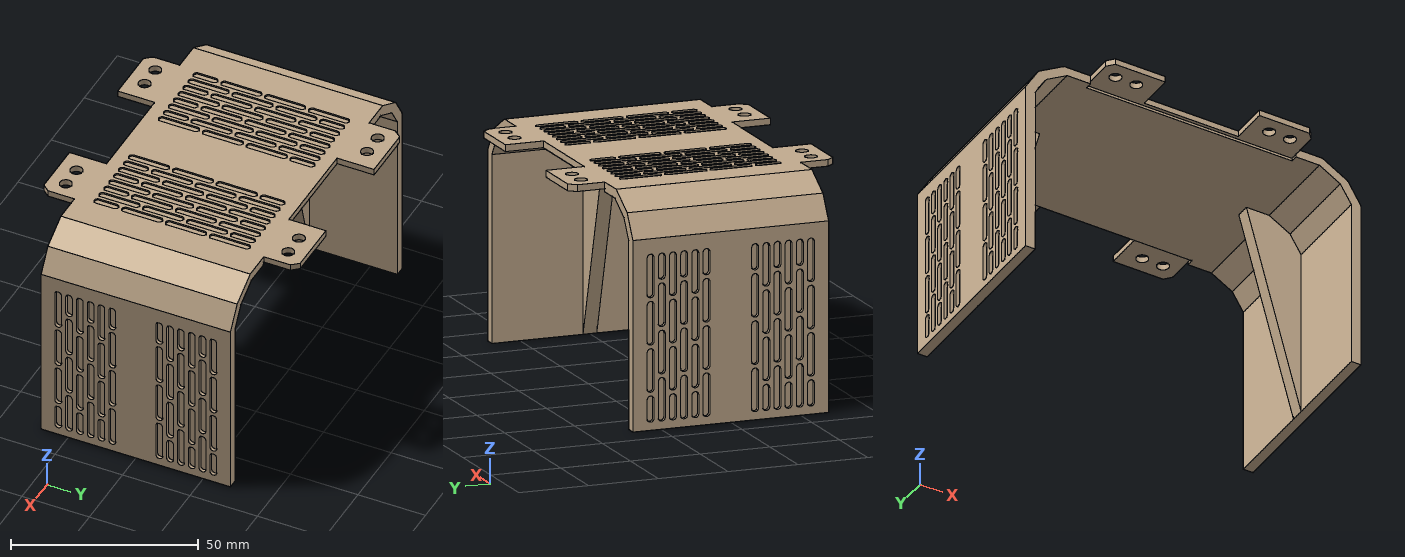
import cadquery as cq

length = 104.0
height = 64.0
shell_width = 56.2
wall_thickness = 3.0
top_thickness = 2.7

outer_bend = [(0, 11.2), (4.1, 4.6), (12.0, 0)]
inner_bend = [(wall_thickness, 12.0), (6.5, 6.5), (12.9, top_thickness)]

overall_width = 76.0
tab_thickness = 1.9
tab_outer_x = 31.8
tab_inner_x = 14.6
tab_corner_x = 1.8
tab_corner_y = 2.1
hole_diameter = 3.4
hole_places_x = (20.6, 27.0)
hole_y = 33.0

notch_y = 27.0
rebate_y = 26.0

rib_width = 4.0
rib_top_x = 32.0

groove_width = 2.0
top_groove_depth = 0.47
wall_groove_depth = 1.0
groove_gap = 1.0
groove_angle = 90
bank_length = 46.2
short_groove = 7.2
long_grooves_per_column = 3
row_pitch = (bank_length - short_groove) / long_grooves_per_column
long_groove = row_pitch - groove_gap

top_columns = 8
top_first_column = 30.0
top_last_column = 9.0
top_bank_end = bank_length / 2

wall_columns = 6
wall_first_column = 23.0
wall_last_column = 7.0
wall_bank_bottom = 2.3
wall_bank_top = wall_bank_bottom + bank_length

half_length = length / 2
half_shell = shell_width / 2
both_sides = (-1, 1)


def mirrored_outline(half_points):
    """Close an outline from its left half, given as (distance in from the side, Z)."""
    left = [(inset - half_length, z) for inset, z in half_points]
    right = [(-x, z) for x, z in reversed(left)]
    return left + right


def extrude_along_y(points, width):
    return cq.Workplane("XZ").polyline(points).close().extrude(width / 2, both=True)


def make_block(bend, wall_inset):
    """Solid of the shell's width bounded by one of the two bent outlines."""
    half = [(wall_inset, 0)] + [(inset, height - drop) for inset, drop in bend]
    return extrude_along_y(mirrored_outline(half), shell_width)


def make_rib(side):
    """Web between a wall and the top, ending on a slope from the wall's foot to the top."""
    points = [
        (side * (half_length - wall_thickness), 0),
        (side * rib_top_x, height - top_thickness),
        (side * rib_top_x, height),
        (side * half_length, height),
        (side * half_length, 0),
    ]
    return extrude_along_y(points, rib_width)


def make_edge_cut(side):
    """Notch between the tabs, and the rebate that thins the top to the tab thickness."""
    notch = cq.Workplane("XY").box(
        2 * tab_inner_x, half_shell - notch_y, top_thickness, centered=(True, False, False)
    )
    rebate = cq.Workplane("XY").box(
        2 * tab_outer_x, half_shell - rebate_y, top_thickness - tab_thickness, centered=(True, False, False)
    )
    cut = notch.translate((0, notch_y, 0)).union(rebate.translate((0, rebate_y, 0)))
    cut = cut.translate((0, 0, height - top_thickness))
    return cut if side > 0 else cut.mirror("XZ")


def make_tab(side_x, side_y):
    outer_y = overall_width / 2
    points = [
        (tab_inner_x, rebate_y),
        (tab_inner_x, outer_y),
        (tab_outer_x - tab_corner_x, outer_y),
        (tab_outer_x, outer_y - tab_corner_y),
        (tab_outer_x, rebate_y),
    ]
    placed = [(side_x * x, side_y * y) for x, y in points]
    holes = [(side_x * x, side_y * hole_y) for x in hole_places_x]
    tab = cq.Workplane("XY").polyline(placed).close().extrude(tab_thickness)
    drill = cq.Workplane("XY").pushPoints(holes).circle(hole_diameter / 2).extrude(tab_thickness)
    return tab.cut(drill).translate((0, 0, height - tab_thickness))


def column_grooves(short_at_end):
    """(centre, length) of the grooves in one column, measured from the start of the bank."""
    start = 0 if short_at_end else short_groove + groove_gap
    grooves = []
    for row in range(long_grooves_per_column):
        grooves.append((start + row * row_pitch + long_groove / 2, long_groove))
    short_centre = bank_length - short_groove / 2 if short_at_end else short_groove / 2
    grooves.append((short_centre, short_groove))
    return grooves


def make_vents(plane, first_column, last_column, columns, bank_end, depth):
    """Cutters for two mirrored banks of grooves, laid out down from bank_end."""
    cutters = cq.Workplane(plane)
    pitch = (first_column - last_column) / (columns - 1)
    for column in range(columns):
        place = first_column - column * pitch
        for centre, size in column_grooves(column % 2 == 0):
            spots = [(side * place, bank_end - centre) for side in both_sides]
            cutters = cutters.pushPoints(spots).slot2D(size, groove_width, groove_angle).extrude(-depth)
    return cutters


top_plane = cq.Plane((0, 0, height), xDir=(1, 0, 0), normal=(0, 0, 1))
top_vents = make_vents(
    top_plane, top_first_column, top_last_column, top_columns, top_bank_end, top_groove_depth
)

outer_block = make_block(outer_bend, 0)
inner_block = make_block(inner_bend, wall_thickness)
result = outer_block.cut(inner_block)
for side in both_sides:
    result = result.cut(make_edge_cut(side))
    result = result.union(make_rib(side).intersect(outer_block))
    for side_y in both_sides:
        result = result.union(make_tab(side, side_y))

result = result.cut(top_vents)
for side in both_sides:
    wall_plane = cq.Plane((side * half_length, 0, 0), xDir=(0, side, 0), normal=(side, 0, 0))
    wall_vents = make_vents(
        wall_plane, wall_first_column, wall_last_column, wall_columns, wall_bank_top, wall_groove_depth
    )
    result = result.cut(wall_vents)